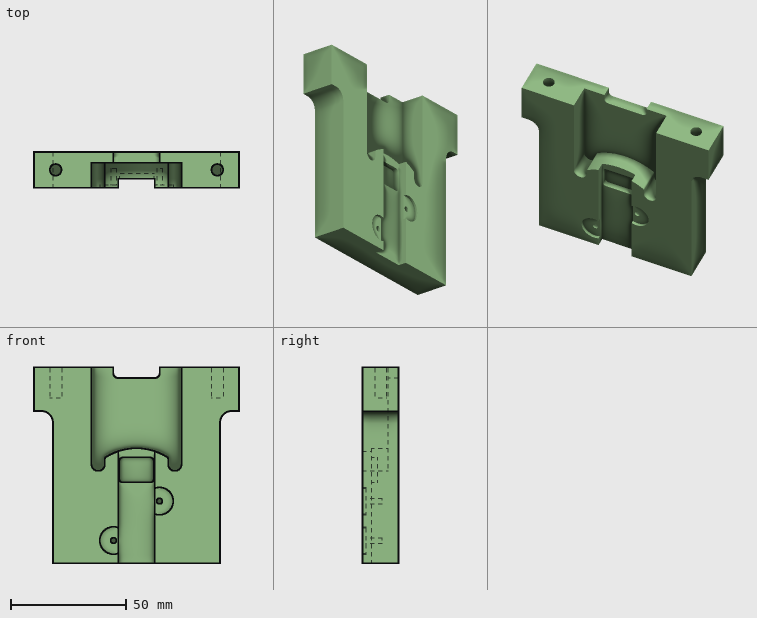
import cadquery as cq
import math

width = 88.85
thickness = 15.6
height = 85.0
body_width = 72.5
head_height = 19.0
shoulder_radius = 5.0
front_y = -thickness / 2

recess_width = 39.1
recess_depth = 10.9
lobe_radius = 2.9
lobe_bottom = 45.0
crown_top = 35.1
crown_radius = 24.9
crown_corner_radius = 1.1

notch_width = 20.0
notch_depth = 4.6
notch_corner_radius = 1.95

channel_width = 15.7
channel_depth = 3.9
pocket_width = 14.8
pocket_height = 10.8
pocket_top = 39.1
pocket_depth = 2.5
pocket_corner_radius = 1.4

seat_diameter = 11.9
seat_depth = 1.3
seat_offset = 9.95
seat_drops = {1: 58.0, -1: 75.1}
pin_hole_diameter = 2.5
pin_hole_depth = 7.1

top_hole_diameter = 5.1
top_hole_depth = 13.3
top_hole_spacing = 70.0


def front_cut(sketch, depth):
    """Extrude an XZ sketch on the front face into the plate."""
    return sketch.extrude(-depth)


def front_plane():
    return cq.Workplane("XZ", origin=(0, front_y, 0))


def make_plate():
    body = cq.Workplane("XY").box(body_width, thickness, height, centered=(True, True, False))
    head_base = height - head_height
    head = (
        cq.Workplane("XY", origin=(0, 0, head_base))
        .box(width, thickness, head_height, centered=(True, True, False))
    )
    shoulders = cq.selectors.BoxSelector(
        (-body_width / 2 - 0.9, -thickness, head_base - 0.9),
        (body_width / 2 + 0.9, thickness, head_base + 0.9),
    )
    return body.union(head).edges("|Y").edges(shoulders).fillet(shoulder_radius)


def make_recess():
    half_width = recess_width / 2
    inner_x = half_width - 2 * lobe_radius
    lobe_z = height - lobe_bottom + lobe_radius
    lobe_x = half_width - lobe_radius
    crown_z = height - crown_top
    corner_z = crown_z - crown_radius + math.sqrt(crown_radius**2 - inner_x**2)
    sketch = (
        front_plane()
        .moveTo(-half_width, height)
        .lineTo(-half_width, lobe_z)
        .threePointArc((-lobe_x, lobe_z - lobe_radius), (-inner_x, lobe_z))
        .lineTo(-inner_x, corner_z)
        .threePointArc((0, crown_z), (inner_x, corner_z))
        .lineTo(inner_x, lobe_z)
        .threePointArc((lobe_x, lobe_z - lobe_radius), (half_width, lobe_z))
        .lineTo(half_width, height)
        .close()
    )
    corners = cq.selectors.BoxSelector(
        (-inner_x - 0.9, -thickness, corner_z - 0.9),
        (inner_x + 0.9, thickness, corner_z + 0.9),
    )
    return front_cut(sketch, recess_depth).edges("|Y").edges(corners).fillet(crown_corner_radius)


def make_notch():
    notch = (
        cq.Workplane("XY", origin=(0, 0, height - notch_depth))
        .box(notch_width, thickness, notch_depth, centered=(True, True, False))
    )
    return notch.edges("|Y and <Z").fillet(notch_corner_radius)


def make_channel():
    channel_top = height - crown_top
    channel_sketch = front_plane().center(0, channel_top / 2).rect(channel_width, channel_top)
    channel = front_cut(channel_sketch, channel_depth)
    pocket_z = height - pocket_top - pocket_height / 2
    pocket_sketch = front_plane().center(0, pocket_z).rect(pocket_width, pocket_height)
    pocket = front_cut(pocket_sketch, channel_depth + pocket_depth)
    return channel.union(pocket.edges("|Y").fillet(pocket_corner_radius))


def make_seat(x, z):
    seat = front_cut(front_plane().center(x, z).circle(seat_diameter / 2), seat_depth)
    pin_sketch = front_plane().center(x, z).circle(pin_hole_diameter / 2)
    return seat.union(front_cut(pin_sketch, seat_depth + pin_hole_depth))


def make_top_holes():
    return (
        cq.Workplane("XY", origin=(0, 0, height))
        .pushPoints([(side * top_hole_spacing / 2, 0) for side in (-1, 1)])
        .circle(top_hole_diameter / 2)
        .extrude(-top_hole_depth)
    )


result = make_plate().cut(make_recess()).cut(make_notch()).cut(make_channel()).cut(make_top_holes())
for side, drop in seat_drops.items():
    result = result.cut(make_seat(side * seat_offset, height - drop))